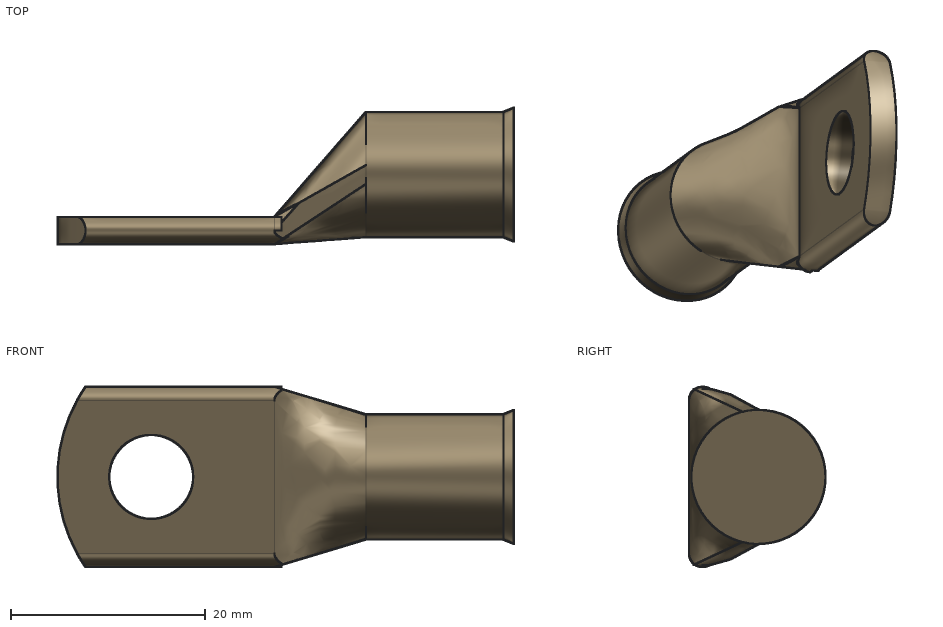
import cadquery as cq
import math


total_length = 46.92
palm_width = 18.54

palm_thickness = 2.83
tip_sagitta = 2.9
hole_diameter = 8.6
hole_x = 9.65

neck_start_x = 22.3
neck_end_x = 31.7
run_in_end_x = 23.05
chamfer_fade_fraction = 0.27

barrel_radius = 6.45
rim_radius = 6.9
rim_length = 1.1
overall_depth = 14.06
barrel_axis_y = overall_depth - rim_radius
rim_start_x = total_length - rim_length

half_width = palm_width / 2
half_thickness = palm_thickness / 2
rod_z = half_width - half_thickness
corner_angle = math.atan2(half_thickness, half_width)


def bar(start_x, end_x, width):
    """Rectangular bar along X with the palm's thickness."""
    return cq.Workplane("XY").box(
        end_x - start_x, palm_thickness, width, centered=(False, False, True)
    ).translate((start_x, 0, 0))


def edge_rods(start_x, end_x):
    """Two rods that form the full-round long edges of the palm."""
    return (
        cq.Workplane("YZ", origin=(start_x, half_thickness, 0))
        .pushPoints([(0, rod_z), (0, -rod_z)])
        .circle(half_thickness)
        .extrude(end_x - start_x)
    )


def make_palm():
    """Round-edged plate with an arc-shaped free end; the back of its rods reaches into the neck."""
    back_half = bar(0, run_in_end_x, palm_width).translate((0, half_thickness, 0))
    long_rods = edge_rods(0, run_in_end_x).intersect(back_half)
    plate = bar(0, neck_start_x, 2 * rod_z).union(edge_rods(0, neck_start_x)).union(long_rods)
    tip_outline = (
        cq.Workplane("XZ")
        .moveTo(tip_sagitta, -half_width)
        .threePointArc((0, 0), (tip_sagitta, half_width))
        .lineTo(run_in_end_x, half_width)
        .lineTo(run_in_end_x, -half_width)
        .close()
        .extrude(-palm_thickness)
    )
    return plate.intersect(tip_outline)


def rectangle_wire():
    """Palm section at the neck start, beginning at the back upper corner."""
    corners = [
        cq.Vector(neck_start_x, palm_thickness, half_width),
        cq.Vector(neck_start_x, palm_thickness, -half_width),
        cq.Vector(neck_start_x, 0, -half_width),
        cq.Vector(neck_start_x, 0, half_width),
    ]
    return cq.Wire.makePolygon(corners, close=True)


def circle_point(angle):
    return cq.Vector(
        neck_end_x,
        barrel_axis_y + barrel_radius * math.sin(angle),
        barrel_radius * math.cos(angle),
    )


def circle_wire():
    """Barrel section split into four arcs facing the four sides of the palm section."""
    splits = [
        corner_angle,
        math.pi - corner_angle,
        math.pi + corner_angle,
        2 * math.pi - corner_angle,
        2 * math.pi + corner_angle,
    ]
    arcs = []
    for start, end in zip(splits, splits[1:]):
        middle = (start + end) / 2
        arcs.append(
            cq.Edge.makeThreePointArc(circle_point(start), circle_point(middle), circle_point(end))
        )
    return cq.Wire.assembleEdges(arcs)


def tetrahedron(corners):
    """Solid bounded by the four triangles between four corners."""
    faces = []
    for skipped in range(len(corners)):
        triangle = corners[:skipped] + corners[skipped + 1:]
        faces.append(cq.Face.makeFromWires(cq.Wire.makePolygon(triangle, close=True)))
    return cq.Workplane(cq.Solid.makeSolid(cq.Shell.makeShell(faces)))


def back_corner_waste():
    """Tapered chamfer that fades out along the neck's upper back corner edge."""
    neck_corner = cq.Vector(neck_start_x, palm_thickness, half_width)
    fade_point = neck_corner + (circle_point(corner_angle) - neck_corner) * chamfer_fade_fraction
    return tetrahedron([
        cq.Vector(neck_start_x, palm_thickness, rod_z),
        cq.Vector(neck_start_x, half_thickness, half_width),
        neck_corner + cq.Vector(0, half_thickness, half_thickness),
        fade_point,
    ])


def make_neck():
    """Ruled transition from palm to barrel, its corners eased where the palm's round edges run in."""
    neck = cq.Workplane(cq.Solid.makeLoft([rectangle_wire(), circle_wire()], True))
    square_edges = (
        bar(neck_start_x, run_in_end_x, palm_width)
        .cut(bar(neck_start_x, run_in_end_x, 2 * rod_z))
        .cut(edge_rods(neck_start_x, run_in_end_x))
    )
    upper_chamfer = back_corner_waste()
    lower_chamfer = upper_chamfer.mirror("XY")
    return neck.cut(square_edges).cut(upper_chamfer).cut(lower_chamfer)


def make_barrel():
    """Cylinder ending in a conical rim."""
    return (
        cq.Workplane("XY")
        .moveTo(neck_end_x, 0)
        .lineTo(neck_end_x, barrel_radius)
        .lineTo(rim_start_x, barrel_radius)
        .lineTo(total_length, rim_radius)
        .lineTo(total_length, 0)
        .close()
        .revolve(360, (0, 0, 0), (1, 0, 0))
        .translate((0, barrel_axis_y, 0))
    )


def make_stud_hole():
    """Cutting cylinder through the palm."""
    return (
        cq.Workplane("XZ")
        .center(hole_x, 0)
        .circle(hole_diameter / 2)
        .extrude(-palm_thickness)
    )


lug = make_palm().union(make_neck()).union(make_barrel()).cut(make_stud_hole())
result = cq.Workplane(lug.solids().val())